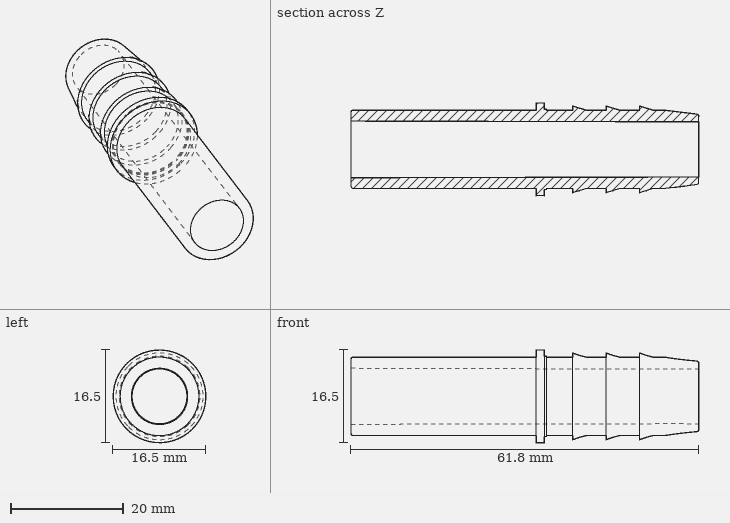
import cadquery as cq

length = 61.8
collar_start = 32.9
collar_width = 1.5
step_width = 0.4
first_barb = 39.35
barb_pitch = 5.95
barb_length = 2.4
barb_count = 3
taper_start = 55.7

tube_radius = 7.0
bore_entry_radius = 5.0
bore_exit_radius = 4.9
collar_radius = 16.5 / 2
step_radius = 7.15
barb_radius = 7.7
tip_radius = 6.25

tube_end_fillet = 0.4
tip_fillet = 0.5


def disc(start, width, radius):
    """Cylinder along X."""
    return cq.Workplane("YZ", origin=(start, 0, 0)).circle(radius).extrude(width)


def cone(start, width, start_radius, end_radius):
    """Truncated cone along X, made by revolving its half section."""
    end = start + width
    return (
        cq.Workplane("XY")
        .polyline([(start, 0), (start, start_radius), (end, end_radius), (end, 0)])
        .close()
        .revolve(360, (0, 0, 0), (1, 0, 0))
    )


tube = disc(0, taper_start, tube_radius).faces("<X").edges().fillet(tube_end_fillet)
tip = cone(taper_start, length - taper_start, tube_radius, tip_radius)
tip = tip.faces(">X").edges().fillet(tip_fillet)
body = tube.union(tip)

body = body.union(disc(collar_start, collar_width, collar_radius))
body = body.union(disc(collar_start + collar_width, step_width, step_radius))

for index in range(barb_count):
    barb_start = first_barb + index * barb_pitch
    body = body.union(cone(barb_start, barb_length, barb_radius, tube_radius))

result = body.cut(cone(0, length, bore_entry_radius, bore_exit_radius))